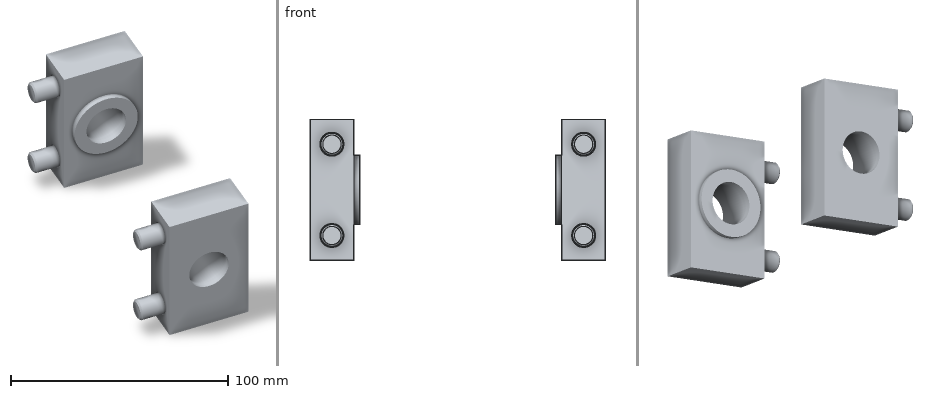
import cadquery as cq

overall_width = 136.0
block_width = 20.1
block_depth = 40.0
block_height = 65.0
bore_diameter = 20.0
boss_diameter = 32.0
boss_height = 2.9

screw_diameter = 10.0
screw_projection = 12.0
screw_chamfer = 0.8
screw_spacing = 42.0
screw_hole_diameter = 11.0
screw_hole_depth = block_depth / 2

block_offset = (overall_width - block_width) / 2
front_face = -block_depth / 2
screw_heights = (-screw_spacing / 2, screw_spacing / 2)


def make_block(side):
    """Block on the given side of X = 0 (-1 or 1), with its boss facing the other block."""
    center_x = side * block_offset
    inner_face = center_x - side * block_width / 2
    boss_plane = cq.Plane(origin=(inner_face, 0, 0), xDir=(0, 1, 0), normal=(-side, 0, 0))
    block = cq.Workplane("XY").box(block_width, block_depth, block_height)
    block = block.translate((center_x, 0, 0))
    boss = cq.Workplane(boss_plane).circle(boss_diameter / 2).extrude(boss_height)
    bore = cq.Workplane("YZ").circle(bore_diameter / 2).extrude(overall_width / 2, both=True)
    block = block.union(boss).cut(bore)
    for height in screw_heights:
        block = block.cut(make_screw_hole(center_x, height))
    return block


def make_screw_hole(center_x, center_z):
    """Blind clearance hole running back (+Y) from the front face of a block."""
    mouth = cq.Plane(origin=(center_x, front_face, center_z), xDir=(1, 0, 0), normal=(0, 1, 0))
    return cq.Workplane(mouth).circle(screw_hole_diameter / 2).extrude(screw_hole_depth)


def make_screw(center_x, center_z):
    """Plain round screw standing on the floor of its hole, with a chamfered tip at -Y."""
    floor_y = front_face + screw_hole_depth
    floor = cq.Plane(origin=(center_x, floor_y, center_z), xDir=(1, 0, 0), normal=(0, -1, 0))
    length = screw_hole_depth + screw_projection
    screw = cq.Workplane(floor).circle(screw_diameter / 2).extrude(length)
    return screw.faces("<Y").chamfer(screw_chamfer)


blocks = []
screws = []
for side in (-1, 1):
    blocks.append(make_block(side).val())
    for height in screw_heights:
        screws.append(make_screw(side * block_offset, height).val())

result = cq.Compound.makeCompound([*blocks, *screws])